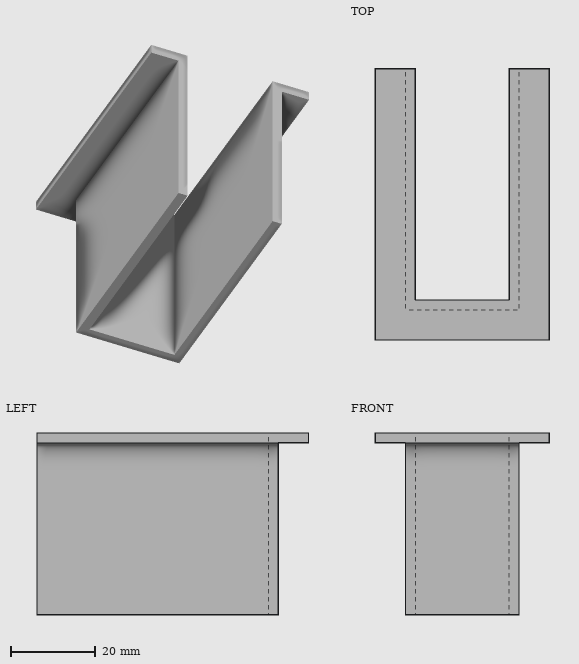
import cadquery as cq

flange_width = 41.27
flange_length = 64.29
total_height = 43.06
thickness = 2.38
flange_overhang = 7.14

sleeve_width = flange_width - 2 * flange_overhang
sleeve_length = flange_length - flange_overhang
opening_width = sleeve_width - 2 * thickness
opening_length = sleeve_length - thickness
flange_bottom = total_height - thickness


def block_from_back(width, length, bottom, top):
    """Block centred on X whose back face lies on the open end, Y = flange_length."""
    block = cq.Workplane("XY").box(width, length, top - bottom, centered=(True, False, False))
    return block.translate((0, flange_length - length, bottom))


flange = block_from_back(flange_width, flange_length, flange_bottom, total_height)
sleeve = block_from_back(sleeve_width, sleeve_length, 0, flange_bottom)

opening = block_from_back(opening_width, opening_length, 0, total_height)

result = flange.union(sleeve).cut(opening)